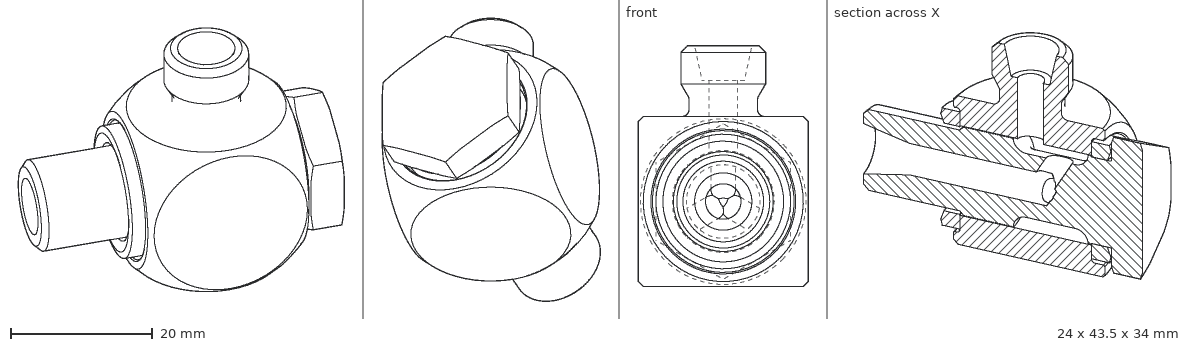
import cadquery as cq
import math


CUBE = 24.0
FRONT_Y = -CUBE / 2
BACK_Y = 11.6
SPHERE_R = 16.5
HOUSING_BORE_D = 14.4
RECESS_D = 20.0
RECESS_CHAMFER = 0.2
RECESS_FLOOR_FILLET = 0.5

STUD_TOP_Z = 22.0
STUD_D = 12.0
STUD_CHAMFER = 0.95
STUD_THREAD_LENGTH = 5.4
UNDERCUT_ANGLE = math.radians(30)
NECK_D = 9.7
NECK_FILLET = 1.0
STUD_MOUTH_D = 8.1
STUD_SEAT_D = 6.0
STUD_BORE_D = 4.0
SEAT_ANGLE = math.radians(12)

RING_D = 19.0
RING_CREST_D = 17.05
RING_HOLE_D = 14.1
RING_LENGTH = 3.0
RING_CREST_RISE = 0.25
RING_CONE_DEPTH = 0.52
FRONT_RING_TIP_Y = FRONT_Y - 2.0

BOLT_FRONT_Y = -26.0
BOLT_LENGTH = 43.5
BOLT_BACK_Y = BOLT_FRONT_Y + BOLT_LENGTH
HEX_FLATS = 19.0
HEX_HEIGHT = 4.9
HEX_FACE_D = 19.75
HEX_CHAMFER = 0.35
HEAD_Y = BOLT_BACK_Y - HEX_HEIGHT
SHANK_D = 13.15
SHANK_CHAMFER = 0.85
LAND_D = 14.35
WAIST_D = 10.4
WAIST_FRONT_Y = -0.65
WAIST_BACK_Y = 6.95
BOLT_MOUTH_D = 8.1
BOLT_BORE_D = 5.0
CROSS_HOLE_D = 3.5
CROSS_HOLE_COUNT = 3
CROSS_HOLE_Y = 1.5
CROSS_HOLE_TILT = 30
BORE_TIP_Y = CROSS_HOLE_Y + 2.55
DRILL_POINT_ANGLE = math.radians(59)

FRONT_SEAT_Y = FRONT_RING_TIP_Y + RING_LENGTH
BACK_SEAT_Y = HEAD_Y - RING_LENGTH


def cylinder_y(diameter, start, end):
    """Cylinder along Y between two Y positions."""
    base = cq.Workplane("XZ", origin=(0, start, 0))
    return base.circle(diameter / 2).extrude(start - end)


def make_stud():
    """Threaded stud with a filleted undercut, revolved about Z."""
    neck_r = NECK_D / 2
    stud_r = STUD_D / 2
    base_z = CUBE / 2
    thread_end_z = STUD_TOP_Z - STUD_THREAD_LENGTH
    flank_r = neck_r + NECK_FILLET * (1 - math.cos(UNDERCUT_ANGLE))
    flank_z = thread_end_z - (stud_r - flank_r) / math.tan(UNDERCUT_ANGLE)
    neck_top_z = flank_z - NECK_FILLET * math.sin(UNDERCUT_ANGLE)
    neck_base_z = base_z + NECK_FILLET
    half_angle = UNDERCUT_ANGLE / 2
    flank_mid = (
        neck_r + NECK_FILLET * (1 - math.cos(half_angle)),
        neck_top_z + NECK_FILLET * math.sin(half_angle),
    )
    base_mid = (
        neck_r + NECK_FILLET * (1 - math.sqrt(0.5)),
        neck_base_z - NECK_FILLET * math.sqrt(0.5),
    )
    root_z = HOUSING_BORE_D / 2
    return (
        cq.Workplane("XZ")
        .moveTo(0, root_z)
        .lineTo(neck_r + NECK_FILLET, root_z)
        .lineTo(neck_r + NECK_FILLET, base_z)
        .threePointArc(base_mid, (neck_r, neck_base_z))
        .lineTo(neck_r, neck_top_z)
        .threePointArc(flank_mid, (flank_r, flank_z))
        .lineTo(stud_r, thread_end_z)
        .lineTo(stud_r, STUD_TOP_Z - STUD_CHAMFER)
        .lineTo(stud_r - STUD_CHAMFER, STUD_TOP_Z)
        .lineTo(0, STUD_TOP_Z)
        .close()
        .revolve(360, (0, 0, 0), (0, 1, 0))
    )


def make_stud_bore():
    """Tube cone with a flat step, then a bore down to the bolt chamber."""
    seat_depth = (STUD_MOUTH_D - STUD_SEAT_D) / 2 / math.tan(SEAT_ANGLE)
    seat_z = STUD_TOP_Z - seat_depth
    return (
        cq.Workplane("XZ")
        .lineTo(STUD_BORE_D / 2, 0)
        .lineTo(STUD_BORE_D / 2, seat_z)
        .lineTo(STUD_SEAT_D / 2, seat_z)
        .lineTo(STUD_MOUTH_D / 2, STUD_TOP_Z)
        .lineTo(0, STUD_TOP_Z)
        .close()
        .revolve(360, (0, 0, 0), (0, 1, 0))
    )


def make_recess(face_y, seat_y):
    """Round recess from a housing face to the ring seat, chamfered mouth and filleted floor."""
    inward = math.copysign(1, seat_y - face_y)
    radius = RECESS_D / 2
    floor_r = radius - RECESS_FLOOR_FILLET
    wall_end_y = seat_y - inward * RECESS_FLOOR_FILLET
    arc_mid = (
        floor_r + RECESS_FLOOR_FILLET * math.sqrt(0.5),
        wall_end_y + inward * RECESS_FLOOR_FILLET * math.sqrt(0.5),
    )
    return (
        cq.Workplane("XY")
        .moveTo(0, face_y)
        .lineTo(radius + RECESS_CHAMFER, face_y)
        .lineTo(radius, face_y + inward * RECESS_CHAMFER)
        .lineTo(radius, wall_end_y)
        .threePointArc(arc_mid, (floor_r, seat_y))
        .lineTo(0, seat_y)
        .close()
        .revolve(360, (0, 0, 0), (0, 1, 0))
    )


def make_housing():
    depth = BACK_Y - FRONT_Y
    cube = cq.Workplane("XY").box(CUBE, depth, CUBE).translate((0, (BACK_Y + FRONT_Y) / 2, 0))
    body = cube.intersect(cq.Workplane("XY").sphere(SPHERE_R))
    body = body.union(make_stud()).cut(make_stud_bore())
    body = body.cut(cylinder_y(HOUSING_BORE_D, FRONT_Y, BACK_Y))
    body = body.cut(make_recess(FRONT_Y, FRONT_SEAT_Y))
    return body.cut(make_recess(BACK_Y, BACK_SEAT_Y))


def make_ring(seat_y, outward):
    """Sealing ring on its seat, its sharp edge facing along Y in the direction outward (+1 or -1)."""
    tip_y = seat_y + outward * RING_LENGTH
    return (
        cq.Workplane("XY")
        .moveTo(RING_HOLE_D / 2, seat_y)
        .lineTo(RING_D / 2, seat_y)
        .lineTo(RING_D / 2, tip_y - outward * RING_CREST_RISE)
        .lineTo(RING_CREST_D / 2, tip_y)
        .lineTo(RING_HOLE_D / 2, tip_y - outward * RING_CONE_DEPTH)
        .close()
        .revolve(360, (0, 0, 0), (0, 1, 0))
    )


def make_hex_head():
    """Hexagon with two flats square to X, its corners chamfered at both ends."""
    corner_d = HEX_FLATS / math.cos(math.radians(30))
    head = cq.Workplane("XZ", origin=(0, BOLT_BACK_Y, 0)).polygon(6, corner_d).extrude(HEX_HEIGHT)
    head = head.rotate((0, 0, 0), (0, 1, 0), 30)
    envelope = (
        cq.Workplane("XY")
        .moveTo(0, HEAD_Y)
        .lineTo(HEX_FACE_D / 2, HEAD_Y)
        .lineTo(corner_d / 2, HEAD_Y + HEX_CHAMFER)
        .lineTo(corner_d / 2, BOLT_BACK_Y - HEX_CHAMFER)
        .lineTo(HEX_FACE_D / 2, BOLT_BACK_Y)
        .lineTo(0, BOLT_BACK_Y)
        .close()
        .revolve(360, (0, 0, 0), (0, 1, 0))
    )
    return head.intersect(envelope)


def make_bolt_shaft():
    """Shank, guided lands and filleted waist, revolved about Y."""
    shank_r = SHANK_D / 2
    land_r = LAND_D / 2
    waist_r = WAIST_D / 2
    neck_r = RING_HOLE_D / 2
    fillet = land_r - waist_r
    arc_offset = fillet * math.sqrt(0.5)
    arc_mid_r = land_r - arc_offset
    land_cone = land_r - shank_r
    return (
        cq.Workplane("XY")
        .moveTo(0, BOLT_FRONT_Y)
        .lineTo(shank_r - SHANK_CHAMFER, BOLT_FRONT_Y)
        .lineTo(shank_r, BOLT_FRONT_Y + SHANK_CHAMFER)
        .lineTo(shank_r, FRONT_SEAT_Y)
        .lineTo(land_r, FRONT_SEAT_Y + land_cone)
        .lineTo(land_r, WAIST_FRONT_Y - fillet)
        .threePointArc((arc_mid_r, WAIST_FRONT_Y - arc_offset), (waist_r, WAIST_FRONT_Y))
        .lineTo(waist_r, WAIST_BACK_Y)
        .threePointArc((arc_mid_r, WAIST_BACK_Y + arc_offset), (land_r, WAIST_BACK_Y + fillet))
        .lineTo(land_r, BACK_SEAT_Y)
        .lineTo(neck_r, BACK_SEAT_Y)
        .lineTo(neck_r, HEAD_Y)
        .lineTo(0, HEAD_Y)
        .close()
        .revolve(360, (0, 0, 0), (0, 1, 0))
    )


def make_bolt_bore():
    """Tube cone at the front end, then a blind bore with a drill point."""
    bore_r = BOLT_BORE_D / 2
    mouth_r = BOLT_MOUTH_D / 2
    cone_end_y = BOLT_FRONT_Y + (mouth_r - bore_r) / math.tan(SEAT_ANGLE)
    return (
        cq.Workplane("XY")
        .moveTo(0, BOLT_FRONT_Y)
        .lineTo(mouth_r, BOLT_FRONT_Y)
        .lineTo(bore_r, cone_end_y)
        .lineTo(bore_r, BORE_TIP_Y - bore_r / math.tan(DRILL_POINT_ANGLE))
        .lineTo(0, BORE_TIP_Y)
        .close()
        .revolve(360, (0, 0, 0), (0, 1, 0))
    )


def make_bolt():
    bolt = make_bolt_shaft().union(make_hex_head()).cut(make_bolt_bore())
    upright_hole = cq.Workplane("XY").circle(CROSS_HOLE_D / 2).extrude(LAND_D)
    tilted_hole = upright_hole.rotate((0, 0, 0), (1, 0, 0), -CROSS_HOLE_TILT)
    cross_hole = tilted_hole.translate((0, CROSS_HOLE_Y, 0))
    for index in range(CROSS_HOLE_COUNT):
        angle = index * 360 / CROSS_HOLE_COUNT
        bolt = bolt.cut(cross_hole.rotate((0, 0, 0), (0, 1, 0), angle))
    return bolt


housing = make_housing()
bolt = make_bolt()
rings = [make_ring(seat_y, outward) for seat_y, outward in ((FRONT_SEAT_Y, -1), (BACK_SEAT_Y, 1))]

result = cq.Compound.makeCompound([housing.val(), bolt.val(), *[ring.val() for ring in rings]])